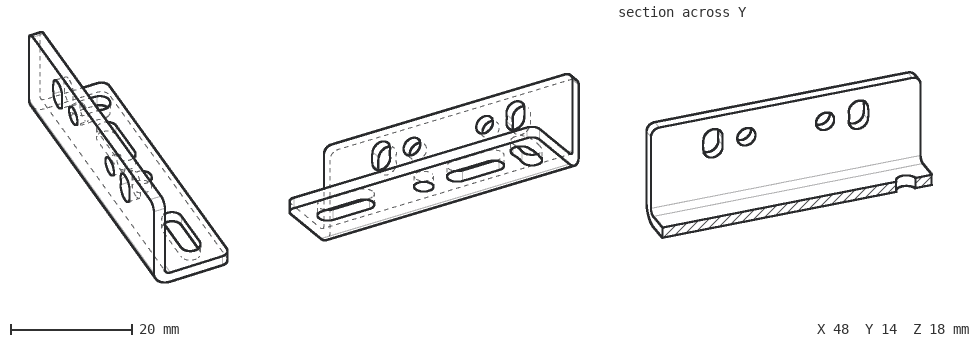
import cadquery as cq
import math

length = 48
depth = 14.0
height = 18.0
thickness = 2.0
inner_bend_radius = 1.0
outer_bend_radius = inner_bend_radius + thickness
corner_radius = 1.5

hole_diameter = 3.2
slot_width = 3.4
edge_distance = 5.0
wall_row_z = height - edge_distance
base_row_y = depth - edge_distance

wall_hole_x = 7.0
wall_arc_radius = 6.0
wall_arc_half_angle = 9

base_hole_x = 0.5
base_arc_radius = 10.0
base_arc_half_angle = 10
straight_slot_length = 10.4
near_slot_x = base_hole_x - base_arc_radius
far_slot_x = 15.5


def bent_sheet():
    """L-shaped sheet with a rounded bend along X."""
    profile = (
        cq.Workplane("YZ")
        .polyline([
            (0, 0), (depth, 0), (depth, thickness),
            (thickness, thickness), (thickness, height), (0, height),
        ])
        .close()
        .extrude(length / 2, both=True)
    )
    bent = profile.edges("|X and (<Y and <Z)").fillet(outer_bend_radius)
    inner_corner = cq.selectors.NearestToPointSelector((0, thickness, thickness))
    bent = bent.edges(inner_corner).fillet(inner_bend_radius)
    bent = bent.edges("|Y and >Z").fillet(corner_radius)
    return bent.edges("|Z and >Y").fillet(corner_radius)


def arc_slot(plane, pivot, radius, half_angle, side):
    """Slot cutter curved about a pivot, lying on its -1 or +1 horizontal side."""
    def at(r, angle):
        a = math.radians(angle)
        return pivot[0] + side * r * math.cos(a), pivot[1] + r * math.sin(a)

    inner = radius - slot_width / 2
    outer = radius + slot_width / 2
    end_angle = math.radians(half_angle)
    tip_x = side * (radius * math.cos(end_angle) - slot_width / 2 * math.sin(end_angle))
    tip_y = radius * math.sin(end_angle) + slot_width / 2 * math.cos(end_angle)
    upper_tip = (pivot[0] + tip_x, pivot[1] + tip_y)
    lower_tip = (pivot[0] + tip_x, pivot[1] - tip_y)
    return (
        plane.moveTo(*at(outer, -half_angle))
        .threePointArc(at(outer, 0), at(outer, half_angle))
        .threePointArc(upper_tip, at(inner, half_angle))
        .threePointArc(at(inner, 0), at(inner, -half_angle))
        .threePointArc(lower_tip, at(outer, -half_angle))
        .close()
        .extrude(thickness)
    )


def cut_wall_openings(body):
    plane = cq.Workplane("XZ", origin=(0, thickness, 0))
    for side in (-1, 1):
        pivot = (side * wall_hole_x, wall_row_z)
        body = body.cut(plane.moveTo(*pivot).circle(hole_diameter / 2).extrude(thickness))
        body = body.cut(arc_slot(plane, pivot, wall_arc_radius, wall_arc_half_angle, side))
    return body


def cut_base_openings(body):
    plane = cq.Workplane("XY")
    pivot = (near_slot_x, base_row_y)
    body = body.cut(plane.moveTo(base_hole_x, base_row_y).circle(hole_diameter / 2).extrude(thickness))
    body = body.cut(arc_slot(plane, pivot, base_arc_radius, base_arc_half_angle, -1))
    for slot_x in (near_slot_x, far_slot_x):
        slot = plane.moveTo(slot_x, base_row_y).slot2D(straight_slot_length, slot_width)
        body = body.cut(slot.extrude(thickness))
    return body


result = cut_base_openings(cut_wall_openings(bent_sheet()))